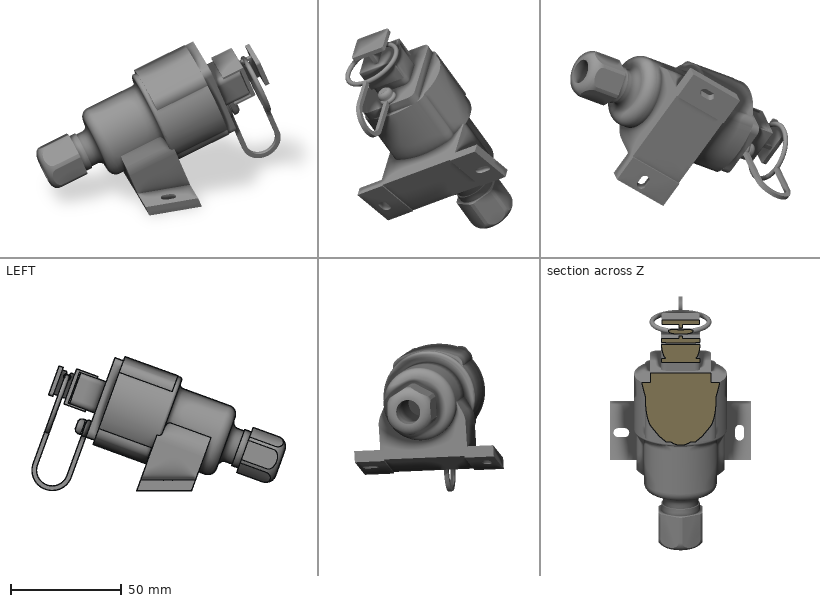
import cadquery as cq
import math

TILT = 20.0
BASE_DROP = 29.8

BODY_RADIUS = 16.5
BODY_END = -23.7
BODY_ROUND = 4.1
NECK_RADIUS = 8.0
NECK_ROUND = 3.0
COLLAR_RADIUS = 8.7
COLLAR_START = -29.6
NUT_START = -32.9
NUT_END = -50.0
NUT_ACROSS_FLATS = 19.8
NUT_CORNER_RADIUS = 10.9
NUT_END_ROUND = 4.8
BORE_RADIUS = 5.5
BORE_END = -17.2

HOUSING_RADIUS = 21.0
HOUSING_FRONT = 4.8
HOUSING_BACK = 32.6
HOUSING_ROUND = 1.3
BODY_JOIN_ROUND = 1.8
LOBE_FRONT = 7.1
LOBE_HALF_WIDTH = 16.1
LOBE_SHOULDER_X = 13.0
LOBE_SHOULDER_Z = 18.3
LOBE_TOP = 21.3
LOBE_CORNER_Z = 14.0

PLATE_BACK = 36.8
PLATE_WIDTH = 27.6
PLATE_HEIGHT = 38.4
PLATE_CORNER = 3.2
PLUG_WIDTH = 17.7
PLUG_HEIGHT = 15.2
PLUG_CORNER = 2.5
CLIP_FRONT = 41.0
CLIP_BACK = 51.3
CLIP_HEIGHT = 17.0
CLIP_END_WALL = 1.8
CLIP_SIDE_WALL = 1.0
CLIP_BEND_ROUND = 0.6
CLIP_GAP = 0.6
CLIP_CORE_WIDTH = 13.8
CLIP_CORE_HEIGHT = 10.3
WEB_HEIGHT = 11.7
TAG_FRONT = 57.2
TAG_BACK = 59.3
TAG_WIDTH = 17.0
TAG_HEIGHT = 14.0
TAG_CORNER = 1.1

RING_Y = 54.1
RING_Z = -9.4
RING_OUTER_RADIUS = 14.0
WIRE_RADIUS = 1.09
RING_EYE_RADIUS = 1.6
EYE_MOUTH_HALF_WIDTH = 1.0
STRAP_WIDTH = 2.0
STRAP_THICKNESS = 2 * WIRE_RADIUS
STRAP_LOOP_Z = -38.5
PEG_Z = -15.4
PEG_RADIUS = 2.1
PEG_HEAD_RADIUS = 3.6
PEG_HEAD_FRONT = 39.5
PEG_HEAD_BACK = 42.6
PEG_HEAD_ROUND = 2.1
STRAP_EYE_RADIUS = 4.0

BRACKET_FRONT = -16.5
BRACKET_BACK = 6.9
COLUMN_HALF_WIDTH = 20.0
COLUMN_SIDE_TOP = -9.4
COLUMN_ROUND = 10.3
COLUMN_ROUND_ANGLE = 25.5
FOOT_WIDTH = 64.0
FOOT_THICKNESS = 4.8
RECESS_WIDTH = 37.0
RECESS_DEPTH = 0.7
SLOT_X = 26.8
SLOT_LENGTH = 7.1
SLOT_WIDTH = 4.0

FAR = 229.7


def tilted(shape):
    return shape.rotate((0, 0, 0), (1, 0, 0), TILT)


def section_at(y):
    """Workplane across the connector axis, facing -Y; local axes are +X and +Z."""
    return cq.Workplane(cq.Plane((0, y, 0), xDir=(1, 0, 0), normal=(0, -1, 0)))


def block(width, height, y_start, y_end, z=0.0):
    """Box centred on X, between two stations along the connector axis."""
    return section_at(y_start).center(0, z).rect(width, height).extrude(y_start - y_end)


def disc(radius, y_start, y_end, z=0.0):
    return section_at(y_start).center(0, z).circle(radius).extrude(y_start - y_end)


def turned_body():
    """Housing drum, rear body and neck turned in one profile about the axis."""
    diagonal = math.sqrt(0.5)
    housing_round_y = HOUSING_FRONT + HOUSING_ROUND
    housing_round_r = HOUSING_RADIUS - HOUSING_ROUND
    join_y = HOUSING_FRONT - BODY_JOIN_ROUND
    join_r = BODY_RADIUS + BODY_JOIN_ROUND
    end_round_y = BODY_END + BODY_ROUND
    end_round_r = BODY_RADIUS - BODY_ROUND
    neck_y = BODY_END - NECK_ROUND
    neck_r = NECK_RADIUS + NECK_ROUND

    def arc_middle(centre, radius, r_sign, y_sign):
        return (centre[0] + r_sign * radius * diagonal, centre[1] + y_sign * radius * diagonal)

    profile = (
        cq.Workplane("XY")
        .moveTo(0, HOUSING_BACK)
        .lineTo(HOUSING_RADIUS, HOUSING_BACK)
        .lineTo(HOUSING_RADIUS, housing_round_y)
        .threePointArc(
            arc_middle((housing_round_r, housing_round_y), HOUSING_ROUND, 1, -1),
            (housing_round_r, HOUSING_FRONT),
        )
        .lineTo(join_r, HOUSING_FRONT)
        .threePointArc(
            arc_middle((join_r, join_y), BODY_JOIN_ROUND, -1, 1),
            (BODY_RADIUS, join_y),
        )
        .lineTo(BODY_RADIUS, end_round_y)
        .threePointArc(
            arc_middle((end_round_r, end_round_y), BODY_ROUND, 1, -1),
            (end_round_r, BODY_END),
        )
        .lineTo(neck_r, BODY_END)
        .threePointArc(
            arc_middle((neck_r, neck_y), NECK_ROUND, -1, 1),
            (NECK_RADIUS, neck_y),
        )
        .lineTo(NECK_RADIUS, COLLAR_START)
        .lineTo(COLLAR_RADIUS, COLLAR_START)
        .lineTo(COLLAR_RADIUS, NUT_START)
        .lineTo(0, NUT_START)
        .close()
    )
    return profile.revolve(360, (0, 0, 0), (0, 1, 0))


def gland_nut():
    """Hexagon with corners up and down, trimmed by a round-ended cylinder."""
    across_corners = NUT_ACROSS_FLATS / math.cos(math.pi / 6)
    hexagon = (
        section_at(NUT_START)
        .transformed(rotate=(0, 0, 90))
        .polygon(6, across_corners)
        .extrude(NUT_START - NUT_END)
    )
    envelope = disc(NUT_CORNER_RADIUS, NUT_START, NUT_END).faces("<Y").edges().fillet(NUT_END_ROUND)
    return hexagon.intersect(envelope)


def housing_lobes():
    """Shallow crowned pads above and below the drum."""
    rise = LOBE_TOP - LOBE_SHOULDER_Z
    crown_radius = (LOBE_SHOULDER_X**2 + rise**2) / (2 * rise)
    half_lobe = (
        section_at(LOBE_FRONT)
        .lineTo(LOBE_HALF_WIDTH, 0)
        .lineTo(LOBE_HALF_WIDTH, LOBE_CORNER_Z)
        .tangentArcPoint((LOBE_SHOULDER_X, LOBE_SHOULDER_Z), relative=False)
        .radiusArc((0, LOBE_TOP), -crown_radius)
        .close()
        .extrude(LOBE_FRONT - HOUSING_BACK)
    )
    lobe = half_lobe.union(half_lobe.mirror("YZ"))
    return lobe.union(lobe.mirror("XY"))


def end_plate():
    return block(PLATE_WIDTH, PLATE_HEIGHT, HOUSING_BACK, PLATE_BACK).edges("|Y").fillet(PLATE_CORNER)


def plug_and_clip():
    """Rounded plug in a U-shaped clip, joined to the clip's end wall by a narrower core."""
    wall_front = CLIP_BACK - CLIP_END_WALL
    plug = block(PLUG_WIDTH, PLUG_HEIGHT, PLATE_BACK, wall_front - CLIP_GAP).edges("|Y").fillet(PLUG_CORNER)
    core = block(CLIP_CORE_WIDTH, CLIP_CORE_HEIGHT, PLATE_BACK, CLIP_BACK)
    clip = block(PLUG_WIDTH, CLIP_HEIGHT, CLIP_FRONT, CLIP_BACK)
    clip = clip.faces(">Y").edges("|X").fillet(CLIP_BEND_ROUND)
    opening = block(FAR, CLIP_HEIGHT - 2 * CLIP_SIDE_WALL, CLIP_FRONT, wall_front)
    return clip.cut(opening).union(plug).union(core)


def tag():
    """End tag on a thin web; the web has an open eye for the pull ring."""
    eye_z = RING_Z + RING_OUTER_RADIUS - WIRE_RADIUS
    web = block(STRAP_WIDTH, WEB_HEIGHT, CLIP_BACK, TAG_FRONT)
    eye = (
        cq.Workplane("YZ").center(RING_Y, eye_z).circle(RING_EYE_RADIUS).extrude(STRAP_WIDTH, both=True)
    )
    mouth = (
        cq.Workplane("YZ")
        .polyline([
            (RING_Y, eye_z),
            (RING_Y + EYE_MOUTH_HALF_WIDTH, WEB_HEIGHT / 2),
            (RING_Y - EYE_MOUTH_HALF_WIDTH, WEB_HEIGHT / 2),
        ])
        .close()
        .extrude(STRAP_WIDTH, both=True)
    )
    plate = block(TAG_WIDTH, TAG_HEIGHT, TAG_FRONT, TAG_BACK).edges("|Y").fillet(TAG_CORNER)
    return web.cut(eye).cut(mouth).union(plate)


def pull_ring():
    ring = cq.Solid.makeTorus(
        RING_OUTER_RADIUS - WIRE_RADIUS, WIRE_RADIUS, cq.Vector(0, RING_Y, RING_Z), cq.Vector(0, 1, 0)
    )
    return cq.Workplane(ring)


def strap():
    """Flat strap from the ring's lowest point, round a half loop and up to a round-rimmed eye."""
    near_y = PLATE_BACK + STRAP_THICKNESS / 2
    loop_y = (near_y + RING_Y) / 2
    loop_radius = (RING_Y - near_y) / 2
    outer = loop_radius + STRAP_THICKNESS / 2
    inner = loop_radius - STRAP_THICKNESS / 2
    ring_end = RING_Z - RING_OUTER_RADIUS + WIRE_RADIUS
    band = (
        cq.Workplane("YZ")
        .moveTo(loop_y + outer, ring_end)
        .lineTo(loop_y + outer, STRAP_LOOP_Z)
        .threePointArc((loop_y, STRAP_LOOP_Z - outer), (loop_y - outer, STRAP_LOOP_Z))
        .lineTo(loop_y - outer, PEG_Z)
        .lineTo(loop_y - inner, PEG_Z)
        .lineTo(loop_y - inner, STRAP_LOOP_Z)
        .threePointArc((loop_y, STRAP_LOOP_Z - inner), (loop_y + inner, STRAP_LOOP_Z))
        .lineTo(loop_y + inner, ring_end)
        .close()
        .extrude(STRAP_WIDTH / 2, both=True)
    )
    rim_z = PEG_Z + STRAP_EYE_RADIUS - STRAP_THICKNESS / 2
    eye = (
        cq.Workplane("YZ")
        .moveTo(PLATE_BACK, PEG_Z)
        .lineTo(PLATE_BACK, rim_z)
        .threePointArc((near_y, PEG_Z + STRAP_EYE_RADIUS), (PLATE_BACK + STRAP_THICKNESS, rim_z))
        .lineTo(PLATE_BACK + STRAP_THICKNESS, PEG_Z)
        .close()
        .revolve(360, (PLATE_BACK, PEG_Z), (PLATE_BACK + STRAP_THICKNESS, PEG_Z))
    )
    return band.union(eye)


def peg():
    shank = disc(PEG_RADIUS, PLATE_BACK, PEG_HEAD_BACK, PEG_Z)
    head = disc(PEG_HEAD_RADIUS, PEG_HEAD_FRONT, PEG_HEAD_BACK, PEG_Z)
    return shank.union(head.faces(">Y").edges().fillet(PEG_HEAD_ROUND))


def bracket():
    """Column cradling the rear body, on a level foot with two crossed slots."""
    turn = math.radians(COLUMN_ROUND_ANGLE)

    def round_point(angle):
        return (
            COLUMN_HALF_WIDTH - COLUMN_ROUND * (1 - math.cos(angle)),
            COLUMN_SIDE_TOP + COLUMN_ROUND * math.sin(angle),
        )

    half_column = (
        section_at(BRACKET_BACK)
        .moveTo(0, -FAR)
        .lineTo(COLUMN_HALF_WIDTH, -FAR)
        .lineTo(COLUMN_HALF_WIDTH, COLUMN_SIDE_TOP)
        .threePointArc(round_point(turn / 2), round_point(turn))
        .lineTo(BODY_RADIUS, 0)
        .lineTo(0, 0)
        .close()
        .extrude(BRACKET_BACK - BRACKET_FRONT)
    )
    column = tilted(half_column.union(half_column.mirror("YZ")))
    above_base = cq.Workplane("XY", origin=(0, 0, -BASE_DROP)).rect(FAR, FAR).extrude(FAR)
    foot_layer = cq.Workplane("XY", origin=(0, 0, -BASE_DROP)).rect(FAR, FAR).extrude(FOOT_THICKNESS)
    foot = tilted(block(FOOT_WIDTH, FAR, BRACKET_BACK, BRACKET_FRONT)).intersect(foot_layer)
    recess = cq.Workplane("XY", origin=(0, 0, -BASE_DROP)).rect(RECESS_WIDTH, FAR).extrude(RECESS_DEPTH)

    middle_y = (BRACKET_FRONT + BRACKET_BACK) / 2
    tilt = math.radians(TILT)
    slot_y = middle_y / math.cos(tilt) + (BASE_DROP - FOOT_THICKNESS) * math.tan(tilt)
    slots = cq.Workplane("XY", origin=(0, slot_y, -BASE_DROP))
    cross_slot = slots.center(-SLOT_X, 0).slot2D(SLOT_LENGTH, SLOT_WIDTH).extrude(FOOT_THICKNESS)
    long_slot = slots.center(SLOT_X, 0).slot2D(SLOT_LENGTH, SLOT_WIDTH, 90).extrude(FOOT_THICKNESS)
    return column.intersect(above_base).union(foot).cut(recess).cut(cross_slot).cut(long_slot)


connector = turned_body()
for feature in (gland_nut, housing_lobes, end_plate, plug_and_clip, tag, peg, strap, pull_ring):
    connector = connector.union(feature())
connector = connector.cut(disc(BORE_RADIUS, BORE_END, NUT_END))

result = tilted(connector).union(bracket())